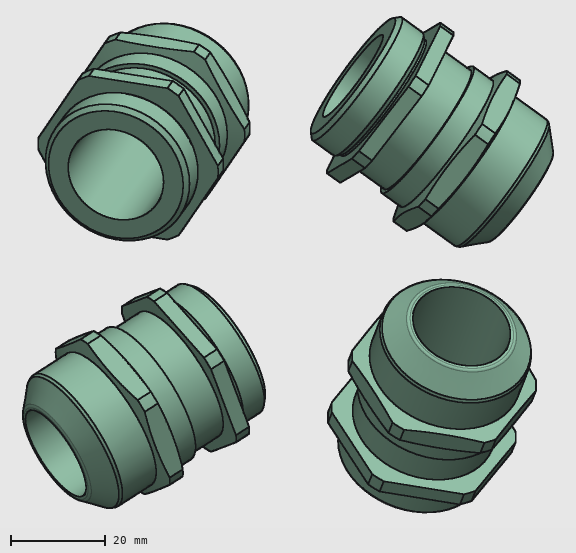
import cadquery as cq

length = 44.0
bore_diameter = 21.2
across_flats = 36.0
across_corners = 40.0

thread_radius = 16.0
neck_radius = 15.5
body_radius = 16.45

thread_chamfer = 1.05
undercut_radius = 15.05
undercut_start = 7.55
undercut_taper = 0.95

flange_start = 8.05
flange_thickness = 3.48
body_start = 19.55
nut_start = 24.6
nut_thickness = 5.32
nut_chamfer_drop = 0.92

dome_height = 4.8
dome_start = length - dome_height
dome_end_radius = body_radius - dome_height
dome_rounding = 1.0
bevel_inset = 0.3
bevel_start = 38.8


def hex_prism(start, thickness):
    """Hexagon with flats facing +Z and -Z, its corners turned to a cylinder."""
    across_points = across_flats / (3 ** 0.5 / 2)
    plane = cq.Workplane("XZ", origin=(0, start, 0))
    hexagon = plane.polygon(6, across_points).extrude(-thickness)
    corners = plane.circle(across_corners / 2).extrude(-thickness)
    return hexagon.intersect(corners)


def revolve_about_y(profile):
    """Turn an (X, Y) half profile about the Y axis."""
    return profile.close().revolve(360, (0, 0, 0), (0, 1, 0))


def turned_body():
    profile = (
        cq.Workplane("XY")
        .lineTo(thread_radius - thread_chamfer, 0)
        .lineTo(thread_radius, thread_chamfer)
        .lineTo(thread_radius, undercut_start - undercut_taper)
        .lineTo(undercut_radius, undercut_start)
        .lineTo(undercut_radius, flange_start)
        .lineTo(neck_radius, flange_start)
        .lineTo(neck_radius, body_start)
        .lineTo(body_radius, body_start)
        .lineTo(body_radius, bevel_start)
        .lineTo(body_radius - bevel_inset, dome_start + bevel_inset)
        .lineTo(dome_end_radius, length)
        .lineTo(0, length)
    )
    body = revolve_about_y(profile)
    return body.edges(">Y").fillet(dome_rounding)


def chamfered_nut():
    """Hexagon with both faces coned down toward the corners."""
    nut_end = nut_start + nut_thickness
    corner_radius = across_corners / 2
    envelope = (
        cq.Workplane("XY")
        .moveTo(0, nut_start)
        .lineTo(body_radius, nut_start)
        .lineTo(corner_radius, nut_start + nut_chamfer_drop)
        .lineTo(corner_radius, nut_end - nut_chamfer_drop)
        .lineTo(body_radius, nut_end)
        .lineTo(0, nut_end)
    )
    return hex_prism(nut_start, nut_thickness).intersect(revolve_about_y(envelope))


flange = hex_prism(flange_start, flange_thickness)
bore = cq.Workplane("XZ").circle(bore_diameter / 2).extrude(-length)

result = turned_body().union(flange).union(chamfered_nut()).cut(bore)